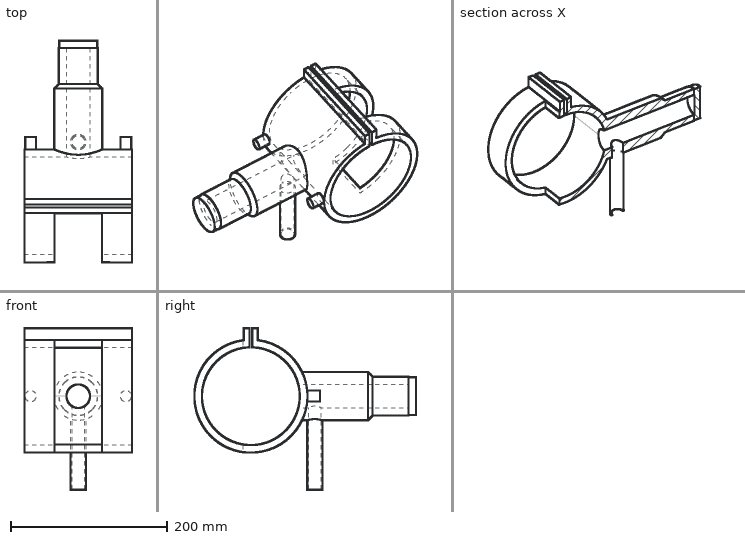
import cadquery as cq

overall_length = 284.3

ring_length = 138.0
ring_outer_radius = 72.5
ring_inner_radius = 62.5

flange_top = 87.0
flange_outer_y = 9.0
slit_width = 3.5

window_width = 60.5
window_edge_y = -10.0

pin_radius = 7.0
pin_spacing = 122.0
pin_end_y = 88.5

barrel_radius = 31.0
neck_radius = 25.0
cap_radius = 24.5
barrel_end_y = 150.0
shoulder_chamfer = barrel_radius - neck_radius
cap_start_y = 202.2
branch_end_y = overall_length - ring_outer_radius
outlet_radius = 10.0
outlet_bore_radius = 8.2
outlet_y = 82.0
outlet_bottom = -120.0

port_radius = 15.0


def cylinder_y(radius, start_y, end_y, x=0):
    """Round bar parallel to Y, at height zero."""
    bar = cq.Solid.makeCylinder(radius, end_y - start_y, cq.Vector(x, start_y, 0), cq.Vector(0, 1, 0))
    return cq.Workplane(obj=bar)


def cylinder_x(radius):
    """Round bar along the ring axis, as long as the ring."""
    end = cq.Workplane("YZ", origin=(-ring_length / 2, 0, 0))
    return end.circle(radius).extrude(ring_length)


def make_ring():
    """Ring blank with flanges and terminal pins, before anything is cut away."""
    flanges = cq.Workplane("XY").box(
        ring_length, 2 * flange_outer_y, flange_top, centered=(True, True, False)
    )
    ring = cylinder_x(ring_outer_radius).union(flanges)
    for x in (-pin_spacing / 2, pin_spacing / 2):
        ring = ring.union(cylinder_y(pin_radius, ring_inner_radius, pin_end_y, x))
    return ring


def make_branch():
    """Tower with the outlet pipe hanging below it, both still solid."""
    barrel = cylinder_y(barrel_radius, ring_inner_radius, barrel_end_y + shoulder_chamfer)
    barrel = barrel.faces(">Y").chamfer(shoulder_chamfer)
    neck = cylinder_y(neck_radius, barrel_end_y, cap_start_y)
    outlet = cq.Workplane("XY").center(0, outlet_y).circle(outlet_radius).extrude(outlet_bottom)
    return barrel.union(neck).union(outlet)


def cut_slit(body):
    slit = cq.Workplane("XY").box(ring_length, slit_width, flange_top, centered=(True, True, False))
    return body.cut(slit)


def cut_window(body):
    window = cq.Workplane("XY").box(window_width, ring_outer_radius, 2 * ring_outer_radius)
    return body.cut(window.translate((0, window_edge_y - ring_outer_radius / 2, 0)))


def cut_passages(body):
    """Straight port through the tower, and the outlet bore that drops from it."""
    port = cylinder_y(port_radius, 0, cap_start_y)
    outlet_bore = cq.Workplane("XY").center(0, outlet_y).circle(outlet_bore_radius).extrude(outlet_bottom)
    return body.cut(port).cut(outlet_bore)


def make_saddle():
    saddle = make_ring().union(make_branch()).cut(cylinder_x(ring_inner_radius))
    return cut_passages(cut_window(cut_slit(saddle)))


def make_cap():
    """Flat disc closing the end of the port."""
    return cylinder_y(cap_radius, cap_start_y, branch_end_y)


saddle = make_saddle()
cap = make_cap()

result = cq.Compound.makeCompound([saddle.val(), cap.val()])